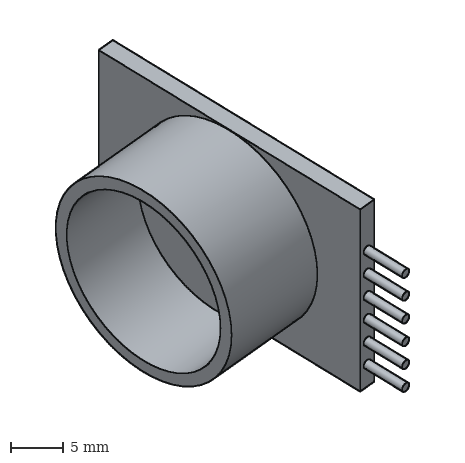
import cadquery as cq

total_length = 39.0
pin_length = 5.0
plate_length = total_length - pin_length
plate_height = 23.0
plate_thickness = 2.0

total_depth = 14.0
cup_depth = total_depth - plate_thickness
cup_outer_diameter = 22.9
cup_inner_diameter = 20.0
cup_floor_thickness = 2.0

pin_diameter = 1.0
pin_count = 6
pin_pitch = plate_height / 8


def make_plate():
    """Plate centred on X and Z, with its front face at Y = 0."""
    return cq.Workplane("XY").box(
        plate_length, plate_thickness, plate_height, centered=(True, False, True)
    )


def make_cup():
    """Cup reaching forward from the plate, open in front and with a solid floor at the back."""
    cup = cq.Workplane("XZ").circle(cup_outer_diameter / 2).extrude(cup_depth)
    bore = (
        cq.Workplane("XZ", origin=(0, -cup_floor_thickness, 0))
        .circle(cup_inner_diameter / 2)
        .extrude(cup_depth - cup_floor_thickness)
    )
    return cup.cut(bore)


def make_pins():
    """Pins at mid-thickness; the first is one pitch above the bottom edge."""
    first_pin_z = -plate_height / 2 + pin_pitch
    pin_centers = [
        (plate_thickness / 2, first_pin_z + i * pin_pitch) for i in range(pin_count)
    ]
    return (
        cq.Workplane("YZ", origin=(plate_length / 2, 0, 0))
        .pushPoints(pin_centers)
        .circle(pin_diameter / 2)
        .extrude(pin_length)
    )


result = make_plate().union(make_cup()).union(make_pins())